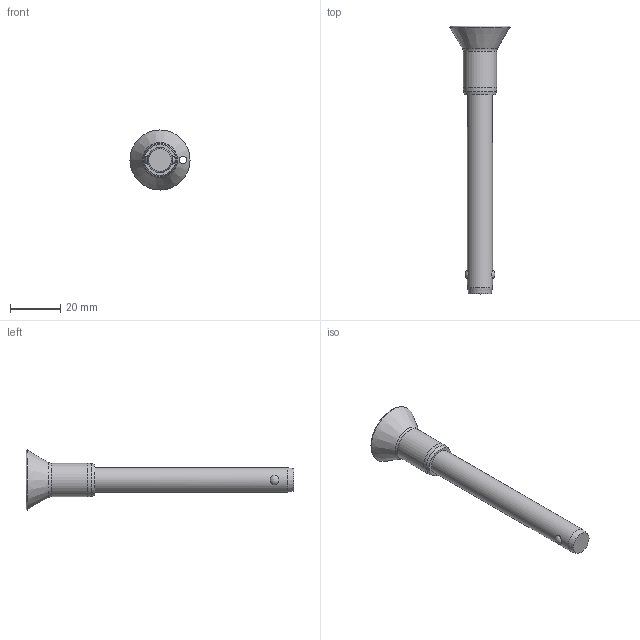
import cadquery as cq

OVERALL_LENGTH = 107.1
SHANK_LENGTH = 79.6
SHANK_RADIUS = 5.0
TIP_RADIUS = 4.5
TIP_TAPER_LENGTH = 2.4

HANDLE_LENGTH = OVERALL_LENGTH - SHANK_LENGTH
FLANGE_RADIUS = 12.0
RIM_RADIUS = 0.5
FLARE_LENGTH = 9.1
NECK_RADIUS = 6.95
NECK_BLEND_LENGTH = 1.0

SLEEVE_RADIUS = 6.65
COLLAR_LENGTH = 2.75
COLLAR_RADIUS = 6.55
END_CHAMFER_LENGTH = 1.3
SHOULDER_RADIUS = 6.2

BALL_RADIUS = 2.0
BALL_SPAN = 12.0
BALL_TO_TIP = 7.8

LANYARD_HOLE_DIAMETER = 3.0
LANYARD_HOLE_OFFSET = 9.15


def make_shank():
    """Round shank with a conical lead-in, reaching into the handle for a solid joint."""
    tip_y = -SHANK_LENGTH
    root_y = HANDLE_LENGTH / 2
    profile = (
        cq.Workplane("XY")
        .moveTo(0, root_y)
        .lineTo(SHANK_RADIUS, root_y)
        .lineTo(SHANK_RADIUS, tip_y + TIP_TAPER_LENGTH)
        .lineTo(TIP_RADIUS, tip_y)
        .lineTo(0, tip_y)
        .close()
    )
    return profile.revolve(360, (0, 0, 0), (0, 1, 0))


def make_handle():
    """Sleeve with a chamfered shoulder end, blending into the flared flange."""
    neck_y = HANDLE_LENGTH - FLARE_LENGTH
    rim_y = HANDLE_LENGTH - RIM_RADIUS
    profile = (
        cq.Workplane("XY")
        .moveTo(0, 0)
        .lineTo(SHOULDER_RADIUS, 0)
        .lineTo(COLLAR_RADIUS, END_CHAMFER_LENGTH)
        .lineTo(SLEEVE_RADIUS, COLLAR_LENGTH)
        .lineTo(SLEEVE_RADIUS, neck_y - NECK_BLEND_LENGTH)
        .tangentArcPoint((NECK_RADIUS, neck_y), relative=False)
        .lineTo(FLANGE_RADIUS, rim_y)
        .radiusArc((FLANGE_RADIUS - RIM_RADIUS, HANDLE_LENGTH), -RIM_RADIUS)
        .lineTo(0, HANDLE_LENGTH)
        .close()
    )
    return profile.revolve(360, (0, 0, 0), (0, 1, 0))


def make_ball(side):
    """Locking ball standing out of the shank on the given X side."""
    ball_x = side * (BALL_SPAN / 2 - BALL_RADIUS)
    return cq.Workplane("XY").sphere(BALL_RADIUS).translate((ball_x, BALL_TO_TIP - SHANK_LENGTH, 0))


def make_lanyard_hole():
    """Cutter for the through hole in the flange, parallel to the pin axis."""
    return (
        cq.Workplane("XZ")
        .center(LANYARD_HOLE_OFFSET, 0)
        .circle(LANYARD_HOLE_DIAMETER / 2)
        .extrude(-HANDLE_LENGTH)
    )


result = make_handle().cut(make_lanyard_hole()).union(make_shank())
for side in (-1, 1):
    result = result.union(make_ball(side))